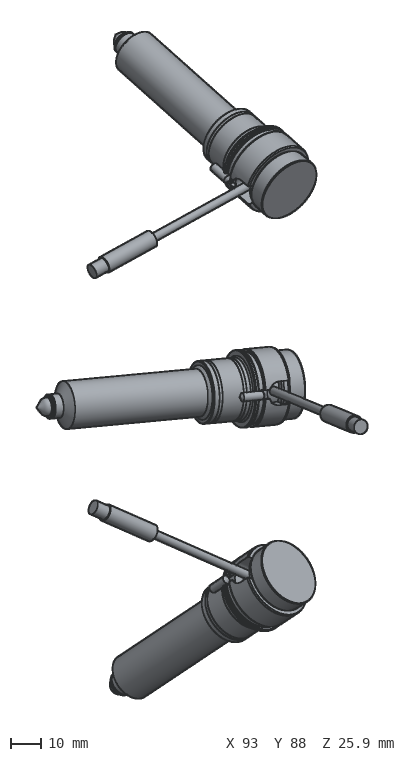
import cadquery as cq

total_length = 93.0

point_length = 2.0
point_radius = 2.3
shoulder_middle = (2.7, 2.9)
shoulder_end = 3.6
tip_radius = 3.1
collar_start = 4.2
collar_end = 8.1
collar_radius = 4.1
collar_chamfer = 0.4
collar_groove_start = 4.65
collar_groove_width = 0.6
collar_groove_depth = 0.1

taper_end = 10.4
barrel_radius = 8.0
barrel_end = 59.0
flare_end = 60.0
flare_radius = 9.1
sleeve_radius = 10.5
sleeve_chamfer = 0.3
sleeve_groove_starts = (62.0, 70.9)
sleeve_groove_width = 1.1
sleeve_groove_depth = 0.1
sleeve_end = 73.4
flange_start = 73.9
flange_foot_radius = 11.1
flange_end = 75.4
flange_radius = 12.97
edge_chamfer_length = 0.4
edge_chamfer_depth = 0.2
ring_groove_radius = 12.1
head_start = 77.4
head_end = 87.0
head_rear_chamfer_length = 0.65
head_rear_chamfer_depth = 0.23

neck_start = 84.9
neck_radius = 10.8
neck_chamfer = 0.6
plug_radius = 11.5

lead_x = 83.0
cable_start = 7.4
cable_radius = 1.5
connector_start = 49.99
connector_radius = 3.0
contact_start = 69.9
contact_radius = 2.5
lead_end = 75.0

slot_radius = 4.0

pin_start = 68.1
pin_end = 77.4
pin_radius = 1.5
pin_point_length = 1.0
pin_distance = 13.0
channel_floor_distance = pin_distance - pin_radius
channel_width = 2 * pin_radius


def revolve_about_x(profile):
    return profile.close().revolve(360, (0, 0, 0), (1, 0, 0))


def ring_cutter(start, width, outer_radius, depth):
    """Ring that cuts a groove of the given depth into a surface of revolution about X."""
    ring = cq.Workplane("YZ", origin=(start, 0, 0)).circle(outer_radius + depth)
    return ring.circle(outer_radius - depth).extrude(width)


def rod_toward_lead(start, end, radius):
    """Round rod on the lead's axis, between two distances from the nozzle axis."""
    return cq.Workplane("XZ", origin=(lead_x, -start, 0)).circle(radius).extrude(end - start)


def make_tip():
    profile = (
        cq.Workplane("XY")
        .lineTo(point_length, point_radius)
        .threePointArc(shoulder_middle, (shoulder_end, tip_radius))
        .lineTo(collar_start, tip_radius)
        .lineTo(collar_start, collar_radius - collar_chamfer)
        .lineTo(collar_start + collar_chamfer, collar_radius)
        .lineTo(collar_end, collar_radius)
        .lineTo(collar_end, 0)
    )
    groove = ring_cutter(collar_groove_start, collar_groove_width, collar_radius, collar_groove_depth)
    return revolve_about_x(profile).cut(groove)


def make_housing_blank():
    profile = (
        cq.Workplane("XY")
        .moveTo(collar_end, 0)
        .lineTo(collar_end, collar_radius)
        .lineTo(taper_end, barrel_radius)
        .lineTo(barrel_end, barrel_radius)
        .lineTo(flare_end, flare_radius)
        .lineTo(flare_end, sleeve_radius - sleeve_chamfer)
        .lineTo(flare_end + sleeve_chamfer, sleeve_radius)
        .lineTo(sleeve_end, sleeve_radius)
        .lineTo(flange_start, flange_foot_radius)
        .lineTo(flange_start, flange_radius - edge_chamfer_depth)
        .lineTo(flange_start + edge_chamfer_length, flange_radius)
        .lineTo(flange_end - edge_chamfer_length, flange_radius)
        .lineTo(flange_end, flange_radius - edge_chamfer_depth)
        .lineTo(flange_end, ring_groove_radius)
        .lineTo(head_start, ring_groove_radius)
        .lineTo(head_start, flange_radius - edge_chamfer_depth)
        .lineTo(head_start + edge_chamfer_length, flange_radius)
        .lineTo(head_end - head_rear_chamfer_length, flange_radius)
        .lineTo(head_end, flange_radius - head_rear_chamfer_depth)
        .lineTo(head_end, 0)
    )
    blank = revolve_about_x(profile)
    for start in sleeve_groove_starts:
        blank = blank.cut(ring_cutter(start, sleeve_groove_width, sleeve_radius, sleeve_groove_depth))
    return blank


def make_cable_slot():
    """U-shaped slot through the head wall, with the barrel's cylinder as its floor."""
    slot_length = head_end - lead_x
    round_end = rod_toward_lead(0, flange_radius, slot_radius)
    straight = cq.Workplane("XY", origin=(lead_x, -flange_radius, 0)).box(
        slot_length, flange_radius, 2 * slot_radius, centered=(False, False, True)
    )
    floor = cq.Workplane("YZ").circle(barrel_radius).extrude(total_length)
    return round_end.union(straight).cut(floor)


def make_pin_channel():
    """Flat-bottomed channel from the front of the flange into the cable slot."""
    outer_corner = (flange_start, -channel_floor_distance - channel_width, 0)
    return cq.Workplane("XY", origin=outer_corner).box(
        lead_x - flange_start, channel_width, channel_width, centered=(False, False, True)
    )


def make_plug():
    profile = (
        cq.Workplane("XY")
        .moveTo(neck_start, 0)
        .lineTo(neck_start, neck_radius - neck_chamfer)
        .lineTo(neck_start + neck_chamfer, neck_radius)
        .lineTo(head_end, neck_radius)
        .lineTo(head_end, plug_radius - edge_chamfer_depth)
        .lineTo(head_end + edge_chamfer_length, plug_radius)
        .lineTo(total_length - edge_chamfer_length, plug_radius)
        .lineTo(total_length, plug_radius - edge_chamfer_depth)
        .lineTo(total_length, 0)
    )
    return revolve_about_x(profile)


def make_lead():
    cable = rod_toward_lead(cable_start, connector_start, cable_radius)
    connector = rod_toward_lead(connector_start, contact_start, connector_radius)
    contact = rod_toward_lead(contact_start, lead_end, contact_radius)
    return cable.union(connector).union(contact)


def make_pin():
    profile = (
        cq.Workplane("XY")
        .moveTo(pin_start, 0)
        .lineTo(pin_start + pin_point_length, pin_radius)
        .lineTo(pin_end - pin_point_length, pin_radius)
        .lineTo(pin_end, 0)
    )
    return revolve_about_x(profile).translate((0, -pin_distance, 0))


def make_housing(plug, lead):
    slotted = make_housing_blank().cut(make_cable_slot()).cut(make_pin_channel())
    return slotted.cut(plug).cut(lead)


tip = make_tip()
plug = make_plug()
lead = make_lead()
pin = make_pin()
housing = make_housing(plug, lead)

result = cq.Compound.makeCompound([tip.val(), housing.val(), plug.val(), lead.val(), pin.val()])